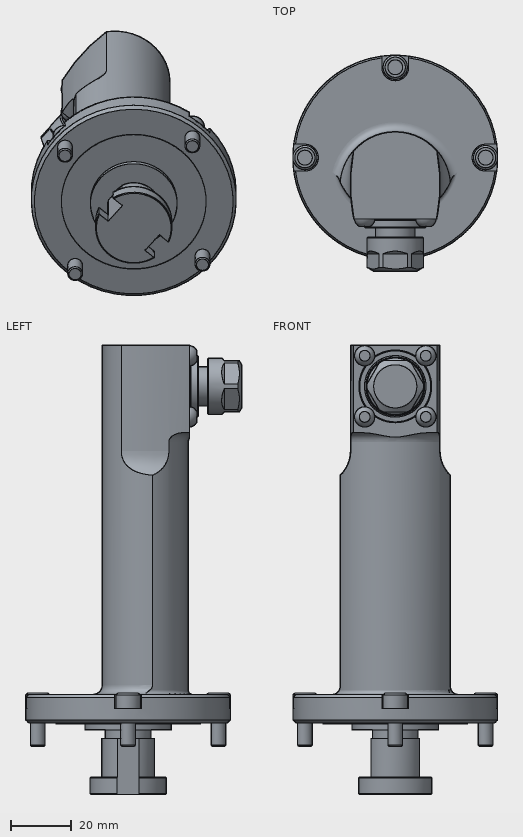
import cadquery as cq
import math

total_height = 147.9

flange_radius = 67.5 / 2
flange_bottom = 23.5
flange_top = 33.0
flange_lower_chamfer = 1.0
flange_upper_bevel_radial = 0.6
flange_upper_bevel_height = 1.0
seat_radius = 47.6 / 2
seat_height = 0.3
spigot_radius = 28.5 / 2
spigot_bottom = 21.3
neck_radius = 15.1 / 2

shaft_radius = 8.7
shaft_top = 18.5
foot_radius = 12.5
foot_height = 5.8
foot_chamfer = 0.3
notch_width = 7.2
notch_floor = 8.0

flange_screw_offset = 29.7
flange_screw_count = 4
counterbore_width = 8.9
counterbore_floor = 28.2
cap_radius = 8.0 / 2
cap_top = 33.4
cap_bevel = (8.0 - 6.7) / 2
socket_radius = 4.9 / 2
socket_depth = 2.4
shank_radius = 4.9 / 2
shank_bottom = 15.8
shank_chamfer = 0.5

front_radius = 19.8
front_foot_fillet = 1.3
back_radius = 18.2
back_extent = 8.6
back_center_y = back_extent - back_radius
back_foot_fillet = 3.0

head_face_y = -20.3
head_step_start = 116.0
head_step_fillet = 3.1
head_reach = 29.6
head_half_width = 14.8
side_bulge_radius = 60.6
side_center_y = -8.7
side_flat_bottom = 113.0
side_runout_radius = 11.1
head_top_chamfer = 0.1

connector_z = 134.3
collar_radius = 12.0
collar_length = 0.5
collar_chamfer = 0.3
inner_collar_radius = 20.3 / 2
inner_collar_length = 3.0
inner_collar_chamfer = 0.5
stem_radius = 13.0 / 2
nut_radius = 18.6 / 2
nut_start = 5.8
nut_rear_chamfer = 0.5
nut_end = 17.2
nut_tip_radius = 7.1
nut_tip_height = 1.3
nut_across_flats = 16.9
nut_flat_start = 10.5
nut_flat_count = 6

dome_offset = 10.0
dome_radius = 6.7 / 2
dome_flat_radius = 3.5 / 2
dome_rim_height = 0.3
dome_shoulder_radius = 2.8
dome_shoulder_height = 1.5
dome_height = 2.4


ARC_MIDDLE = 1 - math.sqrt(0.5)


def cylinder(radius, bottom, top):
    return cq.Workplane("XY").workplane(offset=bottom).circle(radius).extrude(top - bottom)


def flange():
    plate = (
        cq.Workplane("XZ")
        .moveTo(0, flange_bottom)
        .lineTo(flange_radius - flange_lower_chamfer, flange_bottom)
        .lineTo(flange_radius, flange_bottom + flange_lower_chamfer)
        .lineTo(flange_radius, flange_top - flange_upper_bevel_height)
        .lineTo(flange_radius - flange_upper_bevel_radial, flange_top)
        .lineTo(0, flange_top)
        .close()
        .revolve(360, (0, 0), (0, 1))
    )
    plate = plate.union(cylinder(seat_radius, flange_bottom - seat_height, flange_bottom))
    return plate.union(cylinder(spigot_radius, spigot_bottom, flange_bottom))


def foot():
    disc = cylinder(foot_radius, 0, foot_height).edges().chamfer(foot_chamfer)
    body = disc.union(cylinder(shaft_radius, 0, shaft_top))
    notch_depth = foot_radius
    for side in (1, -1):
        notch = (
            cq.Workplane("XY")
            .center(side * (notch_floor + notch_depth / 2), 0)
            .rect(notch_depth, notch_width)
            .extrude(shaft_top)
        )
        body = body.cut(notch)
    return body.union(cylinder(neck_radius, 0, spigot_bottom))


def flange_screw():
    cap = cylinder(cap_radius, counterbore_floor, cap_top).faces(">Z").chamfer(cap_bevel)
    shank = cylinder(shank_radius, shank_bottom, counterbore_floor).faces("<Z").chamfer(shank_chamfer)
    return cap.union(shank).cut(cylinder(socket_radius, cap_top - socket_depth, cap_top))


def counterbore():
    depth = flange_top - counterbore_floor
    opening = (
        cq.Workplane("XY", origin=(counterbore_width / 2, 0, counterbore_floor))
        .rect(counterbore_width, counterbore_width)
        .extrude(depth)
    )
    return cylinder(counterbore_width / 2, counterbore_floor, flange_top).union(opening)


def filleted_foot(radius, fillet):
    """Open profile from the axis along the flange and up a concave fillet to the given radius."""
    return (
        cq.Workplane("XZ")
        .moveTo(0, flange_top)
        .lineTo(radius + fillet, flange_top)
        .threePointArc(
            (radius + ARC_MIDDLE * fillet, flange_top + ARC_MIDDLE * fillet),
            (radius, flange_top + fillet),
        )
    )


def front_envelope():
    """Cylinder on the flange axis that flares out under the overhanging head."""
    head_underside = head_step_start + head_step_fillet
    return (
        filleted_foot(front_radius, front_foot_fillet)
        .lineTo(front_radius, head_step_start)
        .threePointArc(
            (front_radius + ARC_MIDDLE * head_step_fillet, head_underside - ARC_MIDDLE * head_step_fillet),
            (front_radius + head_step_fillet, head_underside),
        )
        .lineTo(head_reach, head_underside)
        .lineTo(head_reach, total_height)
        .lineTo(0, total_height)
        .close()
        .revolve(360, (0, 0), (0, 1))
    )


def back_envelope():
    """Cylinder set toward -Y that rounds the back of the column."""
    return (
        filleted_foot(back_radius, back_foot_fillet)
        .lineTo(back_radius, total_height)
        .lineTo(0, total_height)
        .close()
        .revolve(360, (0, 0), (0, 1))
        .translate((0, back_center_y, 0))
    )


def side_cutter():
    """Ring whose inner wall forms the bulged +X side of the head, with a rounded lower run-out."""
    inner = side_bulge_radius
    outer = inner + side_runout_radius
    runout_bottom = side_flat_bottom - side_runout_radius
    axis_x = head_half_width - side_bulge_radius
    return (
        cq.Workplane("XZ")
        .moveTo(inner, total_height)
        .lineTo(inner, side_flat_bottom)
        .threePointArc(
            (inner + ARC_MIDDLE * side_runout_radius, runout_bottom + ARC_MIDDLE * side_runout_radius),
            (outer, runout_bottom),
        )
        .lineTo(outer, total_height)
        .close()
        .revolve(360, (0, 0), (0, 1))
        .translate((axis_x, side_center_y, 0))
    )


def column():
    face_trim = (
        cq.Workplane("XY", origin=(0, head_face_y - head_reach / 2, flange_top + front_foot_fillet))
        .rect(2 * head_reach, head_reach)
        .extrude(total_height)
    )
    cutter = side_cutter()
    return (
        front_envelope()
        .intersect(back_envelope())
        .cut(face_trim)
        .cut(cutter)
        .cut(cutter.mirror("YZ"))
        .faces(">Z")
        .chamfer(head_top_chamfer)
    )


def nut_flat_cutter():
    """Wedge above one flat; its rear end slopes up to the round part of the nut."""
    flat_height = nut_across_flats / 2
    clearance = nut_radius - flat_height
    return (
        cq.Workplane("YZ")
        .moveTo(-nut_flat_start - clearance, flat_height)
        .lineTo(-nut_end, flat_height)
        .lineTo(-nut_end, nut_radius)
        .lineTo(-nut_flat_start, nut_radius)
        .close()
        .extrude(nut_radius, both=True)
    )


def connector():
    """Collar, stem and hexagonal nut along -Y, with the mounting face at the origin."""
    body = (
        cq.Workplane("XY")
        .polyline([
            (0, 0),
            (collar_radius, 0),
            (collar_radius, -collar_length + collar_chamfer),
            (collar_radius - collar_chamfer, -collar_length),
            (inner_collar_radius, -collar_length),
            (inner_collar_radius, -inner_collar_length + inner_collar_chamfer),
            (inner_collar_radius - inner_collar_chamfer, -inner_collar_length),
            (stem_radius, -inner_collar_length),
            (stem_radius, -nut_start),
            (nut_radius - nut_rear_chamfer, -nut_start),
            (nut_radius, -nut_start - nut_rear_chamfer),
            (nut_radius, -nut_end + nut_tip_height),
            (nut_tip_radius, -nut_end),
            (0, -nut_end),
        ])
        .close()
        .revolve(360, (0, 0), (0, 1))
    )
    for i in range(nut_flat_count):
        turn = i * 360 / nut_flat_count
        body = body.cut(nut_flat_cutter().rotate((0, 0, 0), (0, 1, 0), turn))
    return body


def dome_screw():
    """Domed screw head with a flat tip, pointing along -Y and seated at the origin."""
    return (
        cq.Workplane("XY")
        .lineTo(dome_radius, 0)
        .lineTo(dome_radius, -dome_rim_height)
        .threePointArc((dome_shoulder_radius, -dome_shoulder_height), (dome_flat_radius, -dome_height))
        .lineTo(0, -dome_height)
        .close()
        .revolve(360, (0, 0), (0, 1))
    )


result = flange().union(foot()).union(column())

for i in range(flange_screw_count):
    angle = i * 360 / flange_screw_count
    place = cq.Location(cq.Vector(0, 0, 0), cq.Vector(0, 0, 1), angle) * cq.Location(
        cq.Vector(flange_screw_offset, 0, 0)
    )
    result = result.cut(cq.Workplane(counterbore().val().moved(place)))
    result = result.union(cq.Workplane(flange_screw().val().moved(place)))

result = result.union(connector().translate((0, head_face_y, connector_z)))
for x in (-dome_offset, dome_offset):
    for dz in (-dome_offset, dome_offset):
        result = result.union(dome_screw().translate((x, head_face_y, connector_z + dz)))